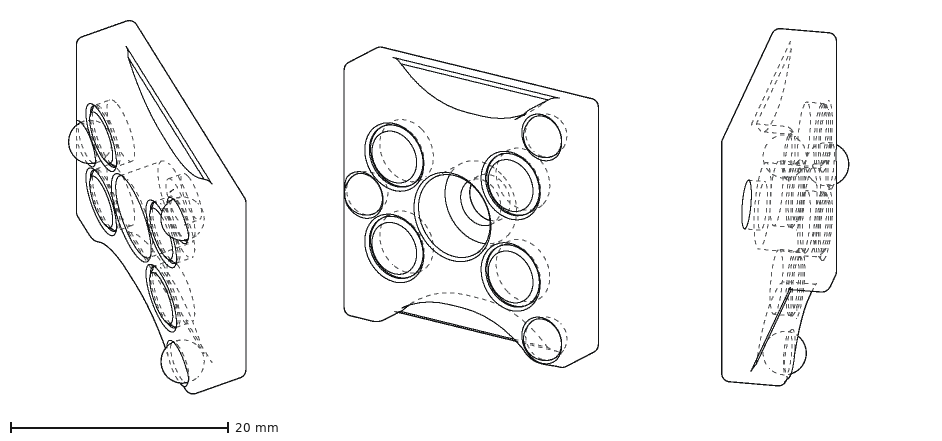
import cadquery as cq
import math

side = 25
half_side = side / 2
thickness = 6.1
edge_fillet = 0.8

scallop_depth = 3.5
scallop_flat = 1.65
scallop_radius = 10
scallop_lip_radius = 2
scallop_back_wall = 2.55
scallop_floor_chamfer = 0.3

bore_radius = 2.25
counterbore_radius = 4
counterbore_depth = 4.6
counterbore_chamfer = 0.3

magnet_radius = 3
magnet_thickness = 2
magnet_chamfer = 0.5
magnet_hole_chamfer = 0.3
magnet_x = 6.5
magnet_z = 4.5
magnet_places = [(x, z) for x in (-magnet_x, magnet_x) for z in (-magnet_z, magnet_z)]

ball_radius = 2
ball_protrusion = 1.48
ball_center_depth = ball_radius - ball_protrusion
ball_socket_chamfer = 0.25
ball_offset = 10
ball_places = [(-ball_offset, 0), (ball_offset, ball_offset), (ball_offset, -ball_offset)]


def front_cylinder(x, z, radius, depth):
    """Cylinder that runs from the front face into the block."""
    return cq.Workplane("XY").add(
        cq.Solid.makeCylinder(radius, depth, cq.Vector(x, 0, z), cq.Vector(0, 1, 0))
    )


def chamfered_hole(x, z, radius, depth, chamfer):
    """Blind hole in the front face with a 45 degree chamfer at its mouth."""
    mouth = cq.Solid.makeCone(
        radius + chamfer, radius, chamfer, cq.Vector(x, 0, z), cq.Vector(0, 1, 0)
    )
    return front_cylinder(x, z, radius, depth).union(cq.Workplane("XY").add(mouth))


def ball(x, z):
    return cq.Workplane("XY").sphere(ball_radius).translate((x, ball_center_depth, z))


def magnet(x, z):
    return front_cylinder(x, z, magnet_radius, magnet_thickness).faces("<Y").chamfer(magnet_chamfer)


def scallop_prism(depth):
    """Top scallop outline, extruded from the front face to the given depth."""
    arc_sum = scallop_radius + scallop_lip_radius
    slope_angle = math.acos(1 - scallop_depth / arc_sum)
    flat_end = scallop_flat / 2
    flat_z = half_side - scallop_depth
    lip_end = flat_end + arc_sum * math.sin(slope_angle)

    def on_large_arc(angle):
        x = flat_end + scallop_radius * math.sin(angle)
        return x, flat_z + scallop_radius * (1 - math.cos(angle))

    def on_lip_arc(angle):
        x = lip_end - scallop_lip_radius * math.sin(angle)
        return x, half_side - scallop_lip_radius * (1 - math.cos(angle))

    half_outline = (
        cq.Workplane("XZ")
        .moveTo(0, flat_z)
        .lineTo(flat_end, flat_z)
        .threePointArc(on_large_arc(slope_angle / 2), on_large_arc(slope_angle))
        .threePointArc(on_lip_arc(slope_angle / 2), (lip_end, half_side))
        .lineTo(0, half_side)
    )
    return half_outline.mirrorY().extrude(-depth)


def scallop_floor_bevel():
    """Wedge that bevels the scallop floor where it meets the outer side."""
    floor_y = thickness - scallop_back_wall
    wedge = (
        cq.Workplane("YZ")
        .moveTo(floor_y, half_side - scallop_floor_chamfer)
        .lineTo(floor_y + scallop_floor_chamfer, half_side)
        .lineTo(floor_y, half_side)
        .close()
        .extrude(half_side, both=True)
    )
    return wedge.intersect(scallop_prism(thickness))


def both_sides(top_cutter, block):
    """Cut a shape from the top side and its mirror image from the bottom side."""
    return block.cut(top_cutter).cut(top_cutter.mirror("XY"))


def make_housing():
    block = cq.Workplane("XY").box(side, thickness, side).translate((0, thickness / 2, 0))
    block = block.edges("|Z").fillet(edge_fillet)
    block = both_sides(scallop_prism(thickness - scallop_back_wall), block)

    for x, z in ball_places:
        mouth = chamfered_hole(x, z, ball_radius, ball_center_depth, ball_socket_chamfer)
        block = block.cut(mouth).cut(ball(x, z))

    block = block.faces(">Y").edges("|X").fillet(edge_fillet)
    block = both_sides(scallop_floor_bevel(), block)

    block = block.cut(front_cylinder(0, 0, bore_radius, thickness))
    block = block.cut(
        chamfered_hole(0, 0, counterbore_radius, counterbore_depth, counterbore_chamfer)
    )
    for x, z in magnet_places:
        block = block.cut(
            chamfered_hole(x, z, magnet_radius, magnet_thickness, magnet_hole_chamfer)
        )
    return block


housing = make_housing()
magnets = [magnet(x, z).val() for x, z in magnet_places]
balls = [ball(x, z).val() for x, z in ball_places]

result = cq.Compound.makeCompound([housing.val(), *magnets, *balls])